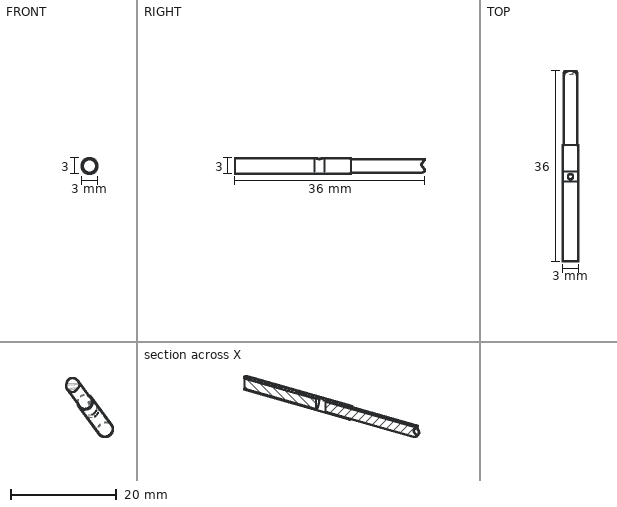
import cadquery as cq

total_length = 36.03
sleeve_diameter = 3.0
sleeve_length = 21.98
bore_diameter = 2.7
core_diameter = 2.6

window_diameter = 1.0
window_from_front = 16.0
window_clearance = 0.45

mouth_depth = 0.8
mouth_height = 0.25
mouth_round = 0.2
lower_lip_height = -0.8
lower_lip_round = 0.18
chin_depth = 0.75
chin_arc_depth = 0.3
chin_arc_height = -1.1

front_y = -total_length / 2
tip_y = total_length / 2
core_radius = core_diameter / 2
window_y = front_y + window_from_front
half_gap = window_diameter / 2 + window_clearance
plug_rear_y = window_y - half_gap
rod_front_y = window_y + half_gap


def cylinder_along_y(diameter, start_y, end_y):
    """Solid cylinder on the Y axis from start_y to end_y."""
    plane = cq.Plane(origin=(0, start_y, 0), xDir=(1, 0, 0), normal=(0, 1, 0))
    return cq.Workplane(plane).circle(diameter / 2).extrude(end_y - start_y)


def make_sleeve():
    """Tube with a round window through the top of its wall."""
    sleeve_rear_y = front_y + sleeve_length
    tube = cylinder_along_y(sleeve_diameter, front_y, sleeve_rear_y)
    bore = cylinder_along_y(bore_diameter, front_y, sleeve_rear_y)
    window = (
        cq.Workplane("XY")
        .center(0, window_y)
        .circle(window_diameter / 2)
        .extrude(sleeve_diameter)
    )
    return tube.cut(bore).cut(window)


def make_plug():
    """Cylinder with a slight clearance in the front of the bore, flush with the sleeve."""
    return cylinder_along_y(core_diameter, front_y, plug_rear_y)


def make_rod_profile():
    """Side profile of the rod, extruded across X: sharp upper lip, mouth, lower lip, round chin."""
    profile = (
        cq.Workplane("YZ")
        .moveTo(rod_front_y, core_radius)
        .lineTo(tip_y, core_radius)
        .lineTo(tip_y - mouth_depth, mouth_height)
        .lineTo(tip_y, lower_lip_height)
        .threePointArc((tip_y - chin_arc_depth, chin_arc_height), (tip_y - chin_depth, -core_radius))
        .lineTo(rod_front_y, -core_radius)
        .close()
        .extrude(core_radius, both=True)
    )
    mouth_edge = cq.NearestToPointSelector((0, tip_y - mouth_depth, mouth_height))
    profile = profile.edges("|X").edges(mouth_edge).fillet(mouth_round)
    lip_edge = cq.NearestToPointSelector((0, tip_y, lower_lip_height))
    return profile.edges("|X").edges(lip_edge).fillet(lower_lip_round)


def make_rod():
    """Round rod whose rear tip is shaped by the side profile."""
    return cylinder_along_y(core_diameter, rod_front_y, tip_y).intersect(make_rod_profile())


sleeve = make_sleeve()
plug = make_plug()
rod = make_rod()

result = cq.Compound.makeCompound([sleeve.val(), plug.val(), rod.val()])